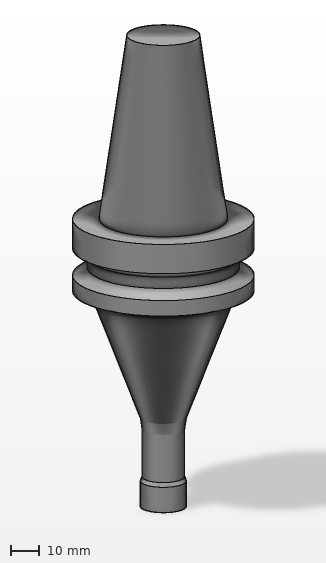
import cadquery as cq

total_length = 170.4

gauge_dia = 44.5
flange_dia = 63.0
groove_dia = 53.0
relief_dia = 56.9
cone_top_dia = 49.5
neck_dia = 14.8
tip_dia = 16.0

shank_length = 65.5
shank_taper = 7 / 24
collar_length = 1.0
upper_flange_length = 10.5
groove_upper_bevel = 2.7
groove_floor_length = 4.1
groove_lower_bevel = 2.9
lower_flange_length = 5.6
relief_length = 2.4
nose_cone_length = 43.6
neck_blend_length = 4.1
neck_length = 17.2
tip_blend_length = 1.5

shank_end_dia = gauge_dia - shank_taper * shank_length

sections = [
    (shank_length, shank_end_dia, gauge_dia),
    (collar_length, gauge_dia, gauge_dia),
    (upper_flange_length, flange_dia, flange_dia),
    (groove_upper_bevel, flange_dia, groove_dia),
    (groove_floor_length, groove_dia, groove_dia),
    (groove_lower_bevel, groove_dia, flange_dia),
    (lower_flange_length, flange_dia, flange_dia),
    (relief_length, relief_dia, cone_top_dia),
    (nose_cone_length, cone_top_dia, tip_dia),
    (neck_blend_length, tip_dia, neck_dia),
    (neck_length, neck_dia, neck_dia),
    (tip_blend_length, neck_dia, tip_dia),
]
tip_length = total_length - sum(length for length, _, _ in sections)
sections.append((tip_length, tip_dia, tip_dia))


def half_profile(sections, top_z):
    """Return the (radius, z) outline, skipping points shared by adjoining sections."""
    points = [(0, top_z)]
    z = top_z
    for length, top_dia, bottom_dia in sections:
        top_point = (top_dia / 2, z)
        if points[-1] != top_point:
            points.append(top_point)
        z -= length
        points.append((bottom_dia / 2, z))
    points.append((0, z))
    return points


profile = cq.Workplane("XZ").polyline(half_profile(sections, total_length)).close()
result = profile.revolve(360, (0, 0, 0), (0, 1, 0))